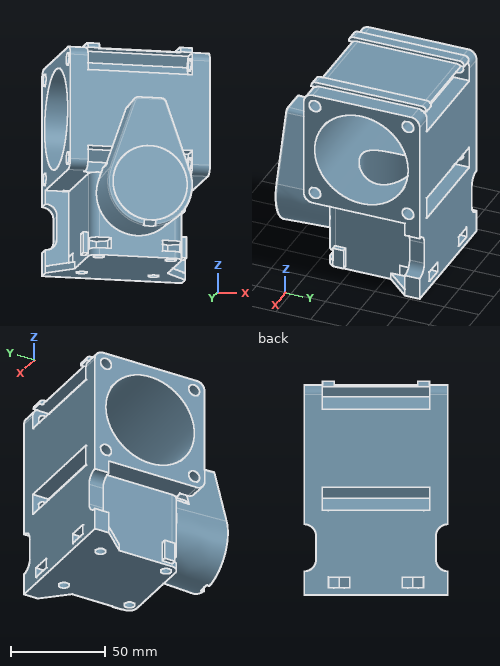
import cadquery as cq
import math

WIDTH = 76.1
DEPTH = 90.1
HEIGHT = 113.5
SQUARE = 66.6
BAR_RISE = 2.0
BACK_EXTRA = 0.3
CORNER_RADIUS = 5.0
BLOCK_TOP = HEIGHT - BAR_RISE
BLOCK_BOTTOM = BLOCK_TOP - SQUARE
AXIS_Z = BLOCK_TOP - SQUARE / 2
FRONT_Y = -SQUARE / 2
BACK_Y = SQUARE / 2 + BACK_EXTRA
BORE_RADIUS = 27.0
BOLT_OFFSET = 26.9
BOLT_RADIUS = 3.3

CHAMBER_RADIUS = 16.3
CHAMBER_FLOOR = 17.0

FLANGE_THICKNESS = 9.6
POCKET_LENGTH = WIDTH - 2 * FLANGE_THICKNESS
POCKET_DEPTH = 13.0
UPPER_POCKET_DROP = 6.6
LOWER_POCKET_RISE = 6.0
ROOF_THICKNESS = 0.9
V_ANGLE = math.radians(30)
V_SLOPE = math.tan(V_ANGLE)

BAR_WIDTH = 6.4
BAR_END_RADIUS = 2.6

BODY_HALF_WIDTH = 25.3
BODY_FRONT_Y = FRONT_Y + 8.0
BODY_CORNER_RADIUS = 4.8

PLATE_THICKNESS = 8.5
PLATE_FRONT_Y = BACK_Y - PLATE_THICKNESS
NOTCH_DEPTH = 6.2
NOTCH_BOTTOM = 12.6
NOTCH_TOP = 37.5

FOOT_THICKNESS = 3.7
SLOT_HEIGHT = 5.8
SLOT_HALF_WIDTH = 5.6
SLOT_WALL = 0.17
SLOT_X = BODY_HALF_WIDTH - SLOT_WALL - SLOT_HALF_WIDTH
SLOT_TIP = SLOT_HALF_WIDTH / math.cos(V_ANGLE)
SCREW_RADIUS = 2.8
FRONT_SCREW_Y = BODY_FRONT_Y + 5.1
BACK_SCREW_Y = BACK_Y - 13.8
GUSSET_LENGTH = 13.6

TAB_THICKNESS = 2.8
TAB_BOTTOM = 1.7
TAB_HEIGHT = 11.2
TAB_FRONT_Y = BODY_FRONT_Y + 4.5
TAB_LENGTH = 6.2

KNOB_Z = 33.4
KNOB_RADIUS = 23.1
KNOB_FRONT_Y = BACK_Y - DEPTH
KNOB_TIP_HEIGHT = 46.5
KNOB_TIP_RADIUS = 3.0
KNOB_TANGENT_ANGLE = math.radians(19.3)
KNOB_TAPER = 2.0
KNOB_RIM_RADIUS = 0.8
GRIP_GAP = 1.2
CAP_RADIUS = 20.2
CAP_THICKNESS = 2.3
PRY_WIDTH = 6.4
PRY_DEPTH = 2.3


def box(x0, x1, y0, y1, z0, z1):
    return cq.Workplane("XY").box(x1 - x0, y1 - y0, z1 - z0, centered=False).translate((x0, y0, z0))


def yz_prism(points, length):
    """Prism along X, centred on X = 0, from (Y, Z) points."""
    return cq.Workplane("YZ").polyline(points).close().extrude(length / 2, both=True)


def make_block():
    half = WIDTH / 2
    block = box(-half, half, FRONT_Y, BACK_Y, BLOCK_BOTTOM, BLOCK_TOP)
    return block.edges("|X and (>Z or <Y)").fillet(CORNER_RADIUS)


def make_body():
    half = BODY_HALF_WIDTH
    body = box(-half, half, BODY_FRONT_Y, BACK_Y, 0, BLOCK_BOTTOM)
    return body.edges("|Z and <Y").fillet(BODY_CORNER_RADIUS)


def make_plate():
    half = WIDTH / 2
    plate = box(-half, half, PLATE_FRONT_Y, BACK_Y, 0, BLOCK_BOTTOM)
    notch_z = (NOTCH_BOTTOM + NOTCH_TOP) / 2
    notch = (
        cq.Workplane("XZ", origin=(0, BACK_Y, 0))
        .pushPoints([(-half, notch_z), (half, notch_z)])
        .slot2D(NOTCH_TOP - NOTCH_BOTTOM, 2 * NOTCH_DEPTH, 90)
        .extrude(PLATE_THICKNESS)
    )
    return plate.cut(notch)


def make_gusset(side):
    corners = [
        (side * BODY_HALF_WIDTH, PLATE_FRONT_Y),
        (side * WIDTH / 2, PLATE_FRONT_Y),
        (side * BODY_HALF_WIDTH, PLATE_FRONT_Y - GUSSET_LENGTH),
    ]
    return cq.Workplane("XY").polyline(corners).close().extrude(FOOT_THICKNESS)


def make_tab(side):
    """Tab standing out from the body side, rooted into the thin wall beside the foot slot."""
    root = side * (BODY_HALF_WIDTH - SLOT_WALL)
    outer = side * (BODY_HALF_WIDTH + TAB_THICKNESS)
    return box(min(root, outer), max(root, outer),
               TAB_FRONT_Y, TAB_FRONT_Y + TAB_LENGTH, TAB_BOTTOM, TAB_BOTTOM + TAB_HEIGHT)


def make_bar(side):
    """Bar across the top of the block, rounded at both upper ends."""
    outer = side * POCKET_LENGTH / 2
    inner = side * (POCKET_LENGTH / 2 - BAR_WIDTH)
    bar = box(min(inner, outer), max(inner, outer),
              -SQUARE / 2, SQUARE / 2, BLOCK_TOP - ROOF_THICKNESS, HEIGHT)
    return bar.edges("|X and >Z").fillet(BAR_END_RADIUS)


def make_nut_pocket(face_y, inward, tip_z, floor_z, roof_z):
    """Pocket open at face_y, running inward to a V whose vertex is at tip_z."""
    tip_y = face_y + inward * POCKET_DEPTH
    floor_y = tip_y - inward * V_SLOPE * (tip_z - floor_z)
    roof_y = tip_y - inward * V_SLOPE * (roof_z - tip_z)
    return yz_prism(
        [(face_y, floor_z), (floor_y, floor_z), (tip_y, tip_z), (roof_y, roof_z), (face_y, roof_z)],
        POCKET_LENGTH,
    )


def make_foot_slot(side, open_y, screw_y, inward):
    """Slot open at open_y whose V end follows a hexagonal nut around screw_y."""
    x = side * SLOT_X
    flat_y = screw_y + inward * SLOT_TIP / 2
    slot = (
        cq.Workplane("XY", origin=(0, 0, FOOT_THICKNESS))
        .polyline([
            (x - SLOT_HALF_WIDTH, open_y),
            (x - SLOT_HALF_WIDTH, flat_y),
            (x, screw_y + inward * SLOT_TIP),
            (x + SLOT_HALF_WIDTH, flat_y),
            (x + SLOT_HALF_WIDTH, open_y),
        ])
        .close()
        .extrude(SLOT_HEIGHT)
    )
    screw_hole = cq.Workplane("XY").center(x, screw_y).circle(SCREW_RADIUS).extrude(FOOT_THICKNESS)
    return slot.union(screw_hole)


def make_housing():
    housing = make_block().union(make_body()).union(make_plate())

    upper_tip = AXIS_Z + BOLT_OFFSET
    lower_tip = AXIS_Z - BOLT_OFFSET
    for face_y, inward in ((FRONT_Y, 1), (BACK_Y, -1)):
        housing = housing.cut(make_nut_pocket(
            face_y, inward, upper_tip, upper_tip - UPPER_POCKET_DROP, BLOCK_TOP - ROOF_THICKNESS))
        housing = housing.cut(make_nut_pocket(
            face_y, inward, lower_tip, BLOCK_BOTTOM, lower_tip + LOWER_POCKET_RISE))

    for side in (-1, 1):
        housing = housing.union(make_bar(side)).union(make_gusset(side))
        housing = housing.cut(make_foot_slot(side, BODY_FRONT_Y, FRONT_SCREW_Y, 1))
        housing = housing.cut(make_foot_slot(side, BACK_Y, BACK_SCREW_Y, -1))
        housing = housing.union(make_tab(side))

    across = cq.Workplane("YZ", origin=(-WIDTH / 2, 0, AXIS_Z))
    bore = across.circle(BORE_RADIUS).extrude(WIDTH)
    bolt_holes = across.rect(2 * BOLT_OFFSET, 2 * BOLT_OFFSET, forConstruction=True).vertices()
    bolt_holes = bolt_holes.circle(BOLT_RADIUS).extrude(WIDTH)
    chamber = (
        cq.Workplane("XY", origin=(0, 0, CHAMBER_FLOOR))
        .circle(CHAMBER_RADIUS)
        .extrude(AXIS_Z - CHAMBER_FLOOR)
    )
    return housing.cut(bore).cut(bolt_holes).cut(chamber)


def knob_plane(y):
    """Plane across the knob axis; extruding goes toward the back."""
    return cq.Workplane(cq.Plane(origin=(0, y, KNOB_Z), xDir=(-1, 0, 0), normal=(0, 1, 0)))


def make_knob():
    """Tapered teardrop: a round hub whose tangent sides run up to a flat tip."""
    depth = BODY_FRONT_Y - KNOB_FRONT_Y
    sine = math.sin(KNOB_TANGENT_ANGLE)
    cosine = math.cos(KNOB_TANGENT_ANGLE)
    tangent_x = KNOB_RADIUS * cosine
    tangent_z = KNOB_RADIUS * sine
    tip_x = (KNOB_RADIUS - KNOB_TIP_HEIGHT * sine) / cosine
    tip_cut = KNOB_TIP_RADIUS * math.tan((math.pi / 2 - KNOB_TANGENT_ANGLE) / 2)
    flat_x = tip_x - tip_cut
    side_x = tip_x + tip_cut * sine
    side_z = KNOB_TIP_HEIGHT - tip_cut * cosine
    profile = (
        knob_plane(KNOB_FRONT_Y)
        .moveTo(-tangent_x, tangent_z)
        .lineTo(-side_x, side_z)
        .tangentArcPoint((-flat_x, KNOB_TIP_HEIGHT), relative=False)
        .lineTo(flat_x, KNOB_TIP_HEIGHT)
        .tangentArcPoint((side_x, side_z), relative=False)
        .lineTo(tangent_x, tangent_z)
        .threePointArc((0, -KNOB_RADIUS), (-tangent_x, tangent_z))
        .close()
    )
    knob = profile.extrude(depth, taper=KNOB_TAPER)
    knob = knob.faces("<Y").edges().fillet(KNOB_RIM_RADIUS)

    grip_back_y = FRONT_Y - GRIP_GAP
    beyond_hub = knob_plane(grip_back_y).circle(KNOB_RADIUS + KNOB_TIP_HEIGHT).circle(KNOB_RADIUS)
    beyond_hub = beyond_hub.extrude(BODY_FRONT_Y - grip_back_y)
    knob = knob.cut(beyond_hub)

    notch_top = KNOB_Z - CAP_RADIUS
    notch_bottom = KNOB_Z - KNOB_RADIUS
    pry_notch = yz_prism(
        [(KNOB_FRONT_Y, notch_top), (KNOB_FRONT_Y + PRY_DEPTH, notch_bottom), (KNOB_FRONT_Y, notch_bottom)],
        PRY_WIDTH,
    )
    return knob.cut(pry_notch).cut(make_cap())


def make_cap():
    return knob_plane(KNOB_FRONT_Y).circle(CAP_RADIUS).extrude(CAP_THICKNESS)


housing = make_housing()
knob = make_knob()
cap = make_cap()

result = cq.Compound.makeCompound([housing.solids().val(), knob.solids().val(), cap.val()])